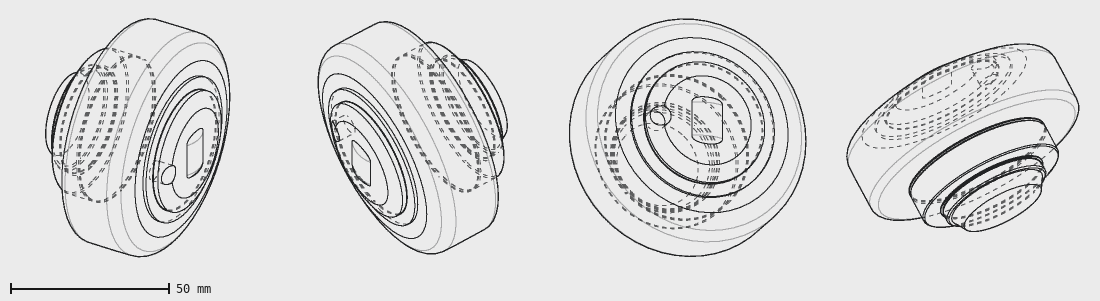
import cadquery as cq
import math

stub_cone_end = 4.05
stub_end = 7.4
collar_start = 7.75
hub_start = 8.05
groove_start = 17.35
groove_end = 18.1
tread_start = 18.45
crown_start = 35.7
tread_end = 41.55
seal_end = 42.65
cap_start = 42.9
cap_cone_start = 44.65
cap_end = 46.65
overall_length = 48.0

stub_tip_radius = 13.65
stub_cone_radius = 16.0
stub_radius = 35.0 / 2
undercut_radius = 17.3
collar_radius = 18.0
hub_radius = 48.0 / 2
tread_peak_radius = 36.9
tread_crowning = 0.1
tread_radius = tread_peak_radius - tread_crowning
seal_radius = hub_radius
cap_radius = 40.0 / 2
cap_face_radius = 14.75
neck_radius = 19.8

stub_chamfer = 0.5
hub_chamfer = 0.45
groove_depth = 0.4
tread_fillet = 2.1
crown_radius = 4.05
crown_angle = math.radians(68.7)

roller_radius = 10.7
roller_length = 16.2
roller_fillet = 2.6

hole_diameter = 6.5
hole_y = -15.35
hole_depth = 5.9


def arc_point(center_x, center_r, radius, angle):
    """Point on an arc; the angle runs from the radial direction towards +X."""
    return (center_x + radius * math.sin(angle), center_r + radius * math.cos(angle))


def make_body():
    """Revolve the stepped half profile about the X axis."""
    fillet_mid = arc_point(
        tread_start + tread_fillet, tread_radius - tread_fillet, tread_fillet, -math.pi / 4
    )
    tread_peak = ((tread_start + tread_fillet + crown_start) / 2, tread_peak_radius)
    crown_center_r = tread_radius - crown_radius
    crown_mid = arc_point(crown_start, crown_center_r, crown_radius, crown_angle / 2)
    crown_end = arc_point(crown_start, crown_center_r, crown_radius, crown_angle)
    shoulder_radius = crown_end[1] - (tread_end - crown_end[0]) * math.tan(crown_angle)

    profile = (
        cq.Workplane("XY")
        .moveTo(0, 0)
        .lineTo(0, stub_tip_radius)
        .lineTo(stub_cone_end, stub_cone_radius)
        .lineTo(stub_cone_end, stub_radius - stub_chamfer)
        .lineTo(stub_cone_end + stub_chamfer, stub_radius)
        .lineTo(stub_end, stub_radius)
        .lineTo(stub_end, undercut_radius)
        .lineTo(collar_start, undercut_radius)
        .lineTo(collar_start, collar_radius)
        .lineTo(hub_start, collar_radius)
        .lineTo(hub_start, hub_radius - hub_chamfer)
        .lineTo(hub_start + hub_chamfer, hub_radius)
        .lineTo(groove_start, hub_radius)
        .lineTo((groove_start + groove_end) / 2, hub_radius - groove_depth)
        .lineTo(groove_end, hub_radius)
        .lineTo(tread_start, hub_radius)
        .lineTo(tread_start, tread_radius - tread_fillet)
        .threePointArc(fillet_mid, (tread_start + tread_fillet, tread_radius))
        .threePointArc(tread_peak, (crown_start, tread_radius))
        .threePointArc(crown_mid, crown_end)
        .lineTo(tread_end, shoulder_radius)
        .lineTo(tread_end, seal_radius)
        .lineTo(seal_end, seal_radius)
        .lineTo(seal_end, neck_radius)
        .lineTo(cap_start, neck_radius)
        .lineTo(cap_start, cap_radius)
        .lineTo(cap_cone_start, cap_radius)
        .lineTo(cap_end, cap_face_radius)
        .lineTo(cap_end, 0)
        .close()
    )
    return profile.revolve(360, (0, 0, 0), (1, 0, 0))


def make_side_roller():
    """Round-edged roller whose rim stands proud of the cap face."""
    return (
        cq.Workplane("XY")
        .center(overall_length - roller_radius, 0)
        .circle(roller_radius)
        .extrude(roller_length / 2, both=True)
        .edges("%CIRCLE")
        .fillet(roller_fillet)
    )


def make_cap_hole():
    """Cutter for the blind hole near the rim of the cap."""
    return (
        cq.Workplane("YZ", origin=(cap_end, hole_y, 0))
        .circle(hole_diameter / 2)
        .extrude(-hole_depth)
    )


result = make_body().cut(make_cap_hole()).union(make_side_roller())